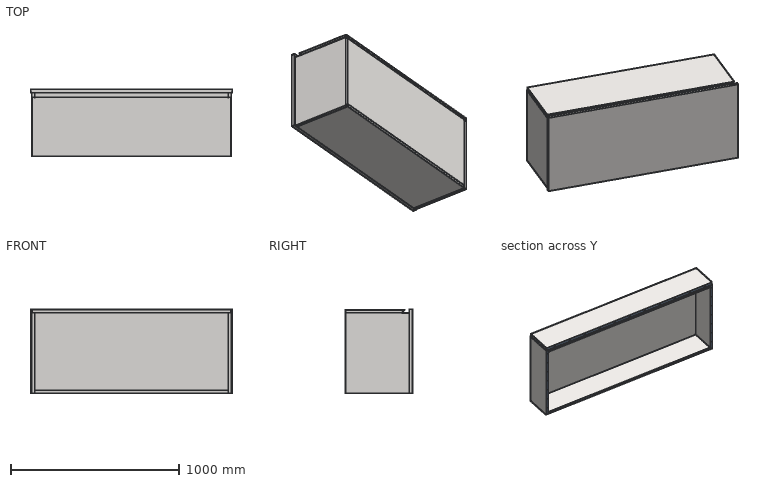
import cadquery as cq

FRONT_WIDTH = 1200.0
FRONT_HEIGHT = 500.0
TOTAL_DEPTH = 400.0

FRONT_THICKNESS = 20.0
BOARD_THICKNESS = 18.0

FRONT_OVERHANG = 6.0
WORKTOP_INSET = 2.0
WORKTOP_DROP = 4.0
GRIP_GAP = 28.0
BEVEL_DEPTH = 15.0

CARCASS_DEPTH = TOTAL_DEPTH - FRONT_THICKNESS
CARCASS_WIDTH = FRONT_WIDTH - 2 * FRONT_OVERHANG
CARCASS_HEIGHT = FRONT_HEIGHT - WORKTOP_DROP - BOARD_THICKNESS
INNER_WIDTH = CARCASS_WIDTH - 2 * BOARD_THICKNESS
WORKTOP_WIDTH = CARCASS_WIDTH - 2 * WORKTOP_INSET
WORKTOP_DEPTH = CARCASS_DEPTH - GRIP_GAP


def board(width, depth, height, y, z):
    """Board centred on X, starting at y and z."""
    block = cq.Workplane("XY").box(width, depth, height, centered=(True, False, False))
    return block.translate((0, y, z))


def make_side_panel(direction):
    """Upright end board; direction is -1 for the left end and +1 for the right end."""
    centre_x = direction * (CARCASS_WIDTH - BOARD_THICKNESS) / 2
    return board(BOARD_THICKNESS, CARCASS_DEPTH, CARCASS_HEIGHT, 0, 0).translate((centre_x, 0, 0))


def make_worktop():
    """Top board whose edge facing the front panel is undercut as a finger grip."""
    profile = [
        (0, 0),
        (WORKTOP_DEPTH - BEVEL_DEPTH, 0),
        (WORKTOP_DEPTH, BOARD_THICKNESS),
        (0, BOARD_THICKNESS),
    ]
    return (
        cq.Workplane("YZ")
        .polyline(profile)
        .close()
        .extrude(WORKTOP_WIDTH / 2, both=True)
        .translate((0, 0, CARCASS_HEIGHT))
    )


front_panel = board(FRONT_WIDTH, FRONT_THICKNESS, FRONT_HEIGHT, CARCASS_DEPTH, 0)

side_panels = [make_side_panel(direction) for direction in (-1, 1)]
bottom_panel = board(INNER_WIDTH, CARCASS_DEPTH, BOARD_THICKNESS, 0, 0)
back_panel = board(INNER_WIDTH, BOARD_THICKNESS, CARCASS_HEIGHT - BOARD_THICKNESS, 0, BOARD_THICKNESS)

top_panel = board(
    INNER_WIDTH,
    CARCASS_DEPTH - BOARD_THICKNESS,
    BOARD_THICKNESS,
    BOARD_THICKNESS,
    CARCASS_HEIGHT - BOARD_THICKNESS,
)

worktop = make_worktop()

result = cq.Compound.makeCompound([
    front_panel.val(),
    *[panel.val() for panel in side_panels],
    bottom_panel.val(),
    back_panel.val(),
    top_panel.val(),
    worktop.val(),
])